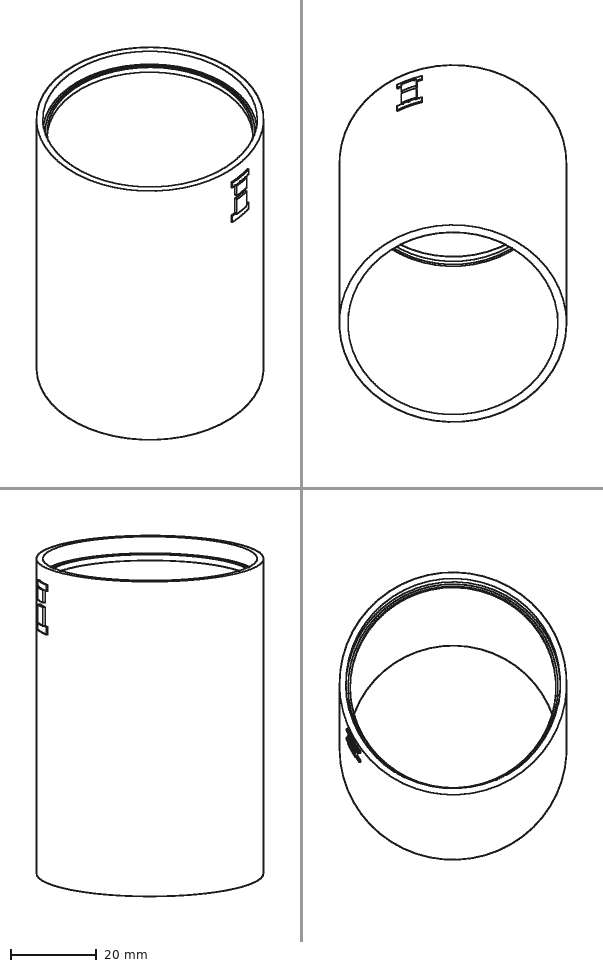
import cadquery as cq

height = 75.0
outer_diameter = 53.0
bore_diameter = 49.0
lip_diameter = 48.0
mouth_diameter = 50.0
mouth_depth = 3.9
lip_height = 1.6
lip_step_depth = 0.15

low_thickness = 0.3
low_width = 6.3
tall_thickness = 0.6
tall_width = 3.75
mark_top = 71.1
upper_low_height = 1.4
upper_tall_height = 3.0
middle_gap = 1.1
lower_tall_height = 4.4
lower_low_height = 1.9

outer_radius = outer_diameter / 2
mouth_floor = height - mouth_depth


def cylinder(diameter, bottom, top):
    return cq.Workplane("XY").workplane(offset=bottom).circle(diameter / 2).extrude(top - bottom)


def make_sleeve():
    """Tube with a wider mouth, and a stepped inner lip between the mouth and the main bore."""
    tube = cylinder(outer_diameter, 0, height)
    bore = cylinder(bore_diameter, 0, mouth_floor - lip_height)
    lip_opening = cylinder(lip_diameter, 0, height)
    mouth = cylinder(mouth_diameter, mouth_floor, height)
    lip_step = cylinder(bore_diameter, mouth_floor - lip_step_depth, height)
    return tube.cut(bore).cut(lip_opening).cut(lip_step).cut(mouth)


def make_mark(top, mark_height, width, thickness):
    """Thin raised pad that follows the curve of the sleeve."""
    bottom = top - mark_height
    shell = cylinder(outer_diameter + 2 * thickness, bottom, top).cut(
        cylinder(outer_diameter, bottom, top)
    )
    window = (
        cq.Workplane("XY")
        .workplane(offset=bottom)
        .center(outer_radius, 0)
        .rect(outer_radius, width)
        .extrude(mark_height)
    )
    return shell.intersect(window)


def make_low_mark(top, mark_height):
    return make_mark(top, mark_height, low_width, low_thickness)


def make_tall_mark(top, mark_height):
    return make_mark(top, mark_height, tall_width, tall_thickness)


sleeve = make_sleeve()

upper_tall_top = mark_top - upper_low_height
lower_tall_top = upper_tall_top - upper_tall_height - middle_gap
lower_low_top = lower_tall_top - lower_tall_height
low_marks = [
    make_low_mark(top, mark_height)
    for top, mark_height in [(mark_top, upper_low_height), (lower_low_top, lower_low_height)]
]
tall_marks = [
    make_tall_mark(top, mark_height)
    for top, mark_height in [(upper_tall_top, upper_tall_height), (lower_tall_top, lower_tall_height)]
]

result = cq.Compound.makeCompound(
    [sleeve.val(), *[mark.val() for mark in low_marks], *[mark.val() for mark in tall_marks]]
)